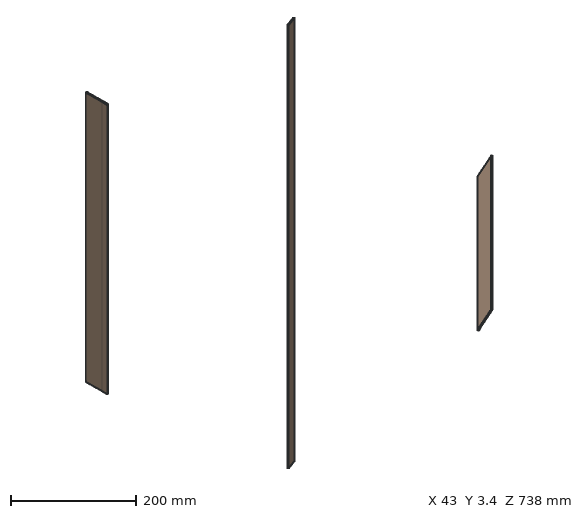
import cadquery as cq

length = 738.0
width = 43.0
depth = 3.4

web_front = 0.6
web_back = 2.8
lip_width = 2.0

ramp_start = 32.0
land_width = 1.1

section = [
    (0, web_front),
    (ramp_start, web_front),
    (width - land_width, 0),
    (width, 0),
    (width, web_back),
    (lip_width, web_back),
    (lip_width, depth),
    (0, depth),
]

result = cq.Workplane("XY").polyline(section).close().extrude(length)